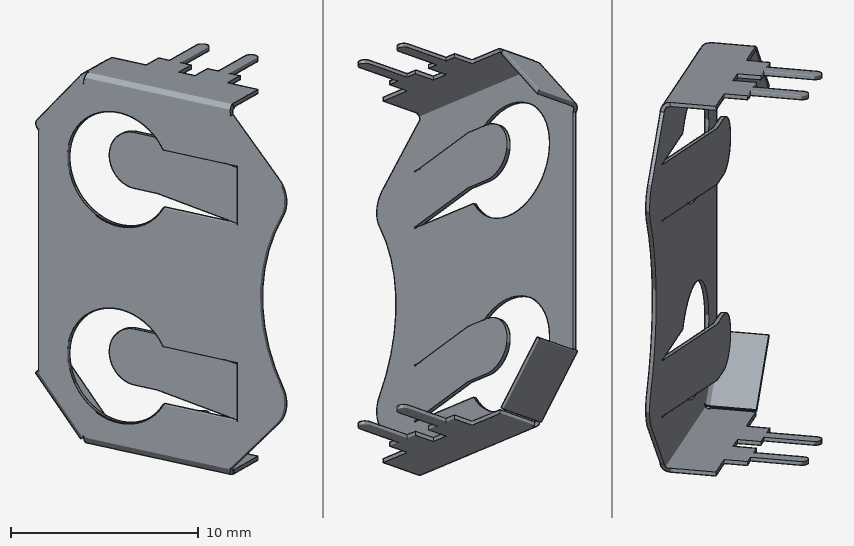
import cadquery as cq
import math

thickness = 0.23
bend_radius = 0.5
inner_radius = bend_radius - thickness
edge_radius = 0.05
tolerance = 0.0002

half_height = 10.55
bend_line_z = half_height - bend_radius
left_edge_z = 6.83
top_edge_left = 2.85
top_edge_right = 12.08
right_end = 15.45
ear_radius = 1.75
ear_z = 5.73
scoop_x = 13.93

flange_depth = 3.01
wall_left = 2.72
wall_right = 11.9

pin_centers = (5.92, 8.98)
shoulder_width = 2.05
shoulder_depth = 4.3
root_radius = 0.08
pin_width = 0.74
pin_depth = 7.38

hole_x = 5.05
hole_z = 5.59
hole_radius = 3.2
tongue_width = 3.18
slot_width = 3.29
slot_end = 12.45
tongue_fold_x = 6.5
tongue_angle = math.radians(15)


def front_sketch():
    """Sketch plane on the outer face: local x = X, local y = Z, extruding toward -Y."""
    return cq.Workplane("XZ")


def mirrored(point):
    return (point[0], -point[1])


def make_plate():
    """Flat plate with two rounded ears and a concave scoop between them, all tangent."""
    ear_x = right_end - ear_radius
    ear_offset = scoop_x - ear_x
    scoop_radius = (ear_offset**2 + ear_z**2 - ear_radius**2) / (2 * (ear_radius - ear_offset))
    scoop_center_x = scoop_x + scoop_radius
    center_distance = scoop_radius + ear_radius
    ear_to_scoop = (
        ear_x + ear_radius * (scoop_center_x - ear_x) / center_distance,
        ear_z - ear_radius * ear_z / center_distance,
    )
    run = ear_x - top_edge_right
    drop = bend_line_z - ear_z
    slope = math.atan2(drop, run) - math.asin(ear_radius / math.hypot(run, drop))
    slope_to_ear = (ear_x + ear_radius * math.sin(slope), ear_z + ear_radius * math.cos(slope))
    ear_tip = (right_end, ear_z)
    top_right = (top_edge_right, bend_line_z)
    top_left = (top_edge_left, bend_line_z)
    left_top = (0, left_edge_z)

    return (
        front_sketch()
        .moveTo(*left_top)
        .lineTo(*top_left)
        .lineTo(*top_right)
        .lineTo(*slope_to_ear)
        .threePointArc(ear_tip, ear_to_scoop)
        .threePointArc((scoop_x, 0), mirrored(ear_to_scoop))
        .threePointArc(mirrored(ear_tip), mirrored(slope_to_ear))
        .lineTo(*mirrored(top_right))
        .lineTo(*mirrored(top_left))
        .lineTo(*mirrored(left_top))
        .close()
        .extrude(-thickness)
    )


def make_flange(start, end):
    """Bent flange along the plate edge from start to end, given as (X, Z), plate on the left."""
    length = math.hypot(end[0] - start[0], end[1] - start[1])
    outward = cq.Vector(end[1] - start[1], 0, start[0] - end[0])
    along = cq.Vector(end[0] - start[0], 0, end[1] - start[1])
    plane = cq.Plane(origin=(start[0], 0, start[1]), xDir=outward, normal=along)
    diagonal = math.sqrt(0.5)
    return (
        cq.Workplane(plane)
        .threePointArc(
            (bend_radius * diagonal, bend_radius * (1 - diagonal)),
            (bend_radius, bend_radius),
        )
        .lineTo(bend_radius, flange_depth)
        .lineTo(inner_radius, flange_depth)
        .lineTo(inner_radius, bend_radius)
        .threePointArc(
            (inner_radius * diagonal, bend_radius - inner_radius * diagonal),
            (0, thickness),
        )
        .close()
        .extrude(length)
    )


def make_pin(center_x):
    """Shouldered terminal with a round tip; its outer rim is rounded beyond the shoulder sides."""
    half_shoulder = shoulder_width / 2
    half_pin = pin_width / 2
    pin = (
        cq.Workplane("XY", origin=(center_x, 0, half_height))
        .moveTo(-half_shoulder, flange_depth)
        .lineTo(half_shoulder, flange_depth)
        .lineTo(half_shoulder, shoulder_depth)
        .lineTo(half_pin, shoulder_depth)
        .lineTo(half_pin, pin_depth - half_pin)
        .threePointArc((0, pin_depth), (-half_pin, pin_depth - half_pin))
        .lineTo(-half_pin, shoulder_depth)
        .lineTo(-half_shoulder, shoulder_depth)
        .close()
        .extrude(-thickness)
    )
    shoulder_middle = (flange_depth + shoulder_depth) / 2

    def is_rim(edge):
        return edge.Center().y > shoulder_middle + tolerance

    return pin.faces(">Z").edges().filter(is_rim).fillet(edge_radius)


def block(x_range, y_range, z_range):
    """Axis-aligned box between the given limits."""
    size = [limits[1] - limits[0] for limits in (x_range, y_range, z_range)]
    corner = (x_range[0], y_range[0], z_range[0])
    return cq.Workplane("XY", origin=corner).box(*size, centered=False)


def make_top_flange():
    """Top flange with its pins; the upright wall and the bend below it differ in length."""
    flange = make_flange((top_edge_right, bend_line_z), (wall_left, bend_line_z))
    bend_depth = (0, bend_radius)
    wall_depth = (bend_radius, flange_depth)
    bend_height = (bend_line_z, half_height)
    bend_left_trim = block((wall_left, top_edge_left), bend_depth, bend_height)
    wall_right_trim = block((wall_right, top_edge_right), wall_depth, bend_height)
    bend_taper = (
        front_sketch()
        .polyline([
            (top_edge_right, bend_line_z),
            (wall_right, half_height),
            (top_edge_right, half_height),
        ])
        .close()
        .extrude(-bend_radius)
    )
    for trim in (bend_left_trim, wall_right_trim, bend_taper):
        flange = flange.cut(trim)

    def is_wall_left_rim(edge):
        center = edge.Center()
        return abs(center.z - half_height) < tolerance and abs(center.x - wall_left) < tolerance

    flange = flange.edges("|Y").filter(is_wall_left_rim).fillet(edge_radius)
    for center_x in pin_centers:
        flange = flange.union(make_pin(center_x))

    root_sides = (pin_centers[0] - shoulder_width / 2, pin_centers[-1] + shoulder_width / 2)

    def is_root(edge):
        center = edge.Center()
        at_side = min(abs(center.x - side) for side in root_sides) < tolerance
        return at_side and abs(center.y - flange_depth) < tolerance

    roots = flange.edges("|Z").filter(is_root)
    return roots.fillet(root_radius)


def make_corner_flange():
    """Flange on the sloped corner, its upright wall rounded along both ends and the free edge."""
    flange = make_flange((top_edge_left, bend_line_z), (0, left_edge_z))
    outward = cq.Vector(left_edge_z - bend_line_z, 0, top_edge_left).normalized()
    edge_start = cq.Vector(0, 0, left_edge_z)

    def is_outer_rim(edge):
        offset = (edge.Center() - edge_start).dot(outward)
        on_wall = offset > bend_radius - tolerance
        return on_wall and edge.Center().y > bend_radius + tolerance

    return flange.edges().filter(is_outer_rim).fillet(edge_radius)


def make_contact_opening():
    """Round hole running into the straight slot around a spring tongue."""
    slot = (
        front_sketch()
        .center((hole_x + slot_end) / 2, hole_z)
        .rect(slot_end - hole_x, slot_width)
        .extrude(-thickness)
    )
    return front_sketch().center(hole_x, hole_z).circle(hole_radius).extrude(-thickness).union(slot)


def make_tongue():
    """Spring tongue: bent out of the plate at the slot end, then folded flat at a round tip."""
    def root_point(radius, angle):
        return (slot_end - radius * math.sin(angle), bend_radius - radius * math.cos(angle))

    def fold_point(radius, angle):
        return (fold_x + radius * math.sin(angle), fold_center_y + radius * math.cos(angle))

    half_angle = tongue_angle / 2
    tip_radius = tongue_width / 2
    tip_x = hole_x - tip_radius
    front_root = root_point(bend_radius, tongue_angle)
    back_root = root_point(inner_radius, tongue_angle)
    rise = front_root[1] + (front_root[0] - tongue_fold_x) * math.tan(tongue_angle)
    fold_x = tongue_fold_x - inner_radius * math.tan(half_angle)
    fold_center_y = rise - inner_radius

    strip = (
        cq.Workplane("XY", origin=(0, 0, hole_z))
        .moveTo(slot_end, 0)
        .threePointArc(root_point(bend_radius, half_angle), front_root)
        .lineTo(*fold_point(inner_radius, tongue_angle))
        .threePointArc(fold_point(inner_radius, half_angle), (fold_x, rise))
        .lineTo(tip_x, rise)
        .lineTo(tip_x, rise + thickness)
        .lineTo(fold_x, rise + thickness)
        .threePointArc(fold_point(bend_radius, half_angle), fold_point(bend_radius, tongue_angle))
        .lineTo(*back_root)
        .threePointArc(root_point(inner_radius, half_angle), (slot_end, thickness))
        .close()
        .extrude(tip_radius, both=True)
    )
    outline = (
        front_sketch()
        .moveTo(hole_x, hole_z + tip_radius)
        .lineTo(slot_end, hole_z + tip_radius)
        .lineTo(slot_end, hole_z - tip_radius)
        .lineTo(hole_x, hole_z - tip_radius)
        .threePointArc((tip_x, hole_z), (hole_x, hole_z + tip_radius))
        .close()
        .extrude(-(rise + thickness))
    )
    return strip.intersect(outline)


def round_plate_edges(plate):
    """Round the outer side of every plate edge that carries no flange."""
    bend_middles = (
        ((top_edge_left + top_edge_right) / 2, bend_line_z),
        (top_edge_left / 2, (left_edge_z + bend_line_z) / 2),
    )

    def is_free(edge):
        center = edge.Center()
        return all(math.hypot(center.x - x, abs(center.z) - z) > tolerance for x, z in bend_middles)

    return plate.faces("<Y").edges().filter(is_free).fillet(edge_radius)


opening = make_contact_opening()
plate = round_plate_edges(make_plate().cut(opening).cut(opening.mirror("XY")))

result = plate
for body in (make_top_flange(), make_corner_flange(), make_tongue()):
    result = result.union(body).union(body.mirror("XY"))